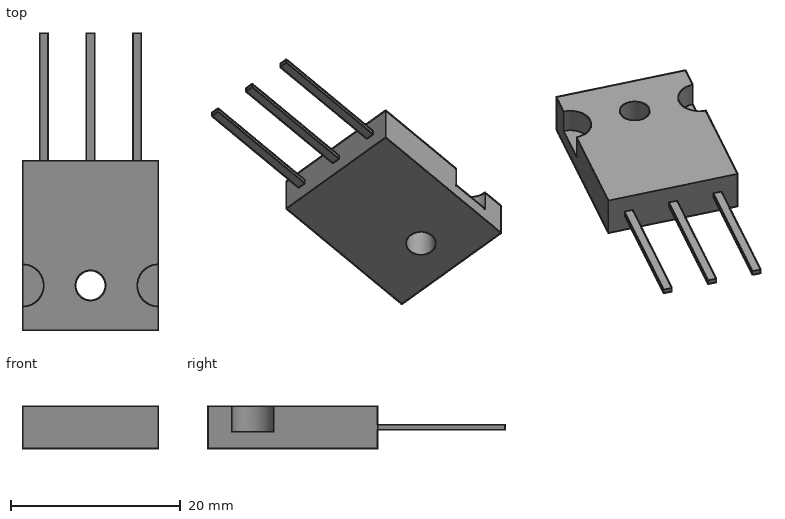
import cadquery as cq

body_width = 16.0
body_height = 5.0
total_length = 35.0
lead_length = 15.0
body_length = total_length - lead_length

hole_diameter = 3.5
hole_from_front = 5.3
notch_radius = 2.5
notch_depth = 3.0

lead_count = 3
lead_pitch = 5.5
lead_width = 1.0
lead_thickness = 0.6


def make_body():
    """Plain block with its front face at Y = 0 and its base at Z = 0."""
    return cq.Workplane("XY").box(body_width, body_length, body_height, centered=(True, False, False))


def make_hole():
    """Vertical mounting hole through the whole body."""
    return cq.Workplane("XY").center(0, hole_from_front).circle(hole_diameter / 2).extrude(body_height)


def make_notches():
    """Half-round pockets sunk from the top face, centred on the two side faces."""
    side_centers = [(side * body_width / 2, hole_from_front) for side in (-1, 1)]
    return (
        cq.Workplane("XY", origin=(0, 0, body_height))
        .pushPoints(side_centers)
        .circle(notch_radius)
        .extrude(-notch_depth)
    )


def make_leads():
    """Row of straight leads leaving the back face at mid height."""
    return (
        cq.Workplane("XZ", origin=(0, body_length, body_height / 2))
        .rarray(lead_pitch, 0.35, lead_count, 1)
        .rect(lead_width, lead_thickness)
        .extrude(-lead_length)
    )


result = make_body().cut(make_hole()).cut(make_notches()).union(make_leads())